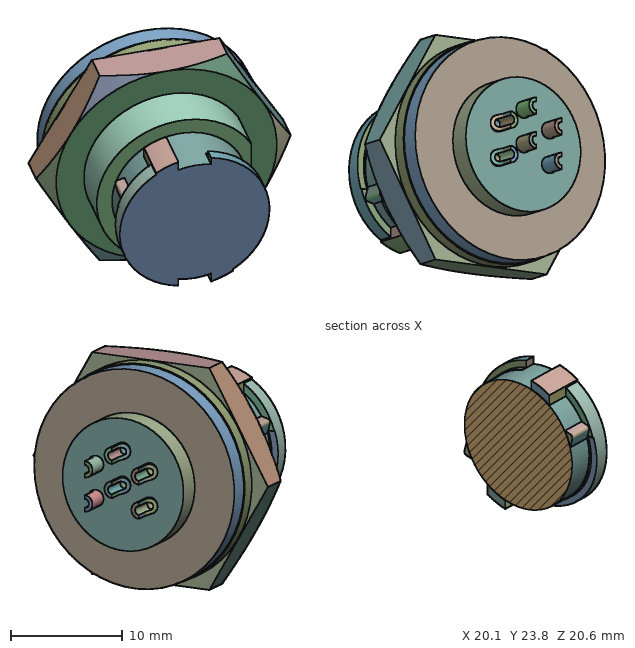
import cadquery as cq
import math

insert_back = 2.15
flange_back = 4.28
washer_back = 6.1
nut_back = 7.45
nut_front = 10.95
barrel_end = 15.08
key_start = 16.1
lug_start = 18.45
front_end = 20.1

insert_radius = 6.14
flange_radius = 10.15
washer_radius = 10.25
barrel_radius = 7.7
barrel_flat_y = 6.73
neck_radius = 6.28

nut_across_corners = 23.8
nut_flat_distance = nut_across_corners / 2 * math.cos(math.pi / 6)
nut_chamfer_length = 1.02

lug_radius = 7.0
lug_edge_y = 1.52
key_radius = 7.14
key_outer_y = 3.6
ramp_floor_radius = 6.35
ramp_top_z = 1.93
ramp_start_depth = 0.1
ramp_end_depth = 0.62

rib_tilt = 14.0
rib_outer_distance = 5.45
rib_inner_distance = 4.05
rib_bottom_offset = 2.85
rib_top_offset = 4.4
rib_round = 0.3

pin_radius = 0.75
pin_circle_radius = 3.16
pin_angles = (-30, 30, 90, 150, 210)
cup_radius = 0.4
cup_depth = 2.38
cup_tip_length = 0.24
cup_flat_length = 1.24
cup_run_out_radius = 0.9


def disc(start, end, radius):
    return cq.Workplane("YZ").workplane(offset=start).circle(radius).extrude(end - start)


def block(x_range, y_range, z_range):
    sizes = [high - low for low, high in (x_range, y_range, z_range)]
    corner = (x_range[0], y_range[0], z_range[0])
    return cq.Workplane("XY").box(*sizes, centered=False).translate(corner)


def half_turn(shape):
    return shape.rotate((0, 0, 0), (1, 0, 0), 180)


def turned_body():
    body = disc(insert_back, flange_back, insert_radius)
    body = body.union(disc(flange_back, washer_back, flange_radius))
    body = body.union(disc(washer_back, nut_back, washer_radius))
    beside_flat = block(
        (nut_front, barrel_end), (-barrel_radius, barrel_flat_y), (-barrel_radius, barrel_radius)
    )
    body = body.union(disc(nut_front, barrel_end, barrel_radius).intersect(beside_flat))
    return body.union(disc(barrel_end, front_end, neck_radius))


def hex_nut():
    hexagon = (
        cq.Workplane("YZ")
        .workplane(offset=nut_back)
        .polygon(6, nut_across_corners)
        .extrude(nut_front - nut_back)
    )
    corner_radius = nut_across_corners / 2
    envelope = (
        cq.Workplane("XY")
        .moveTo(nut_back, 0)
        .lineTo(nut_back, corner_radius)
        .lineTo(nut_front - nut_chamfer_length, corner_radius)
        .lineTo(nut_front, nut_flat_distance)
        .lineTo(nut_front, 0)
        .close()
        .revolve(360, (0, 0, 0), (1, 0, 0))
    )
    return hexagon.intersect(envelope)


def key():
    slab = block((key_start, front_end), (-key_outer_y, -lug_edge_y), (0, key_radius))
    return disc(key_start, front_end, key_radius).intersect(slab)


def lug():
    side = block(
        (lug_start, front_end), (-lug_radius, -lug_edge_y), (-lug_radius, lug_radius)
    )
    ring = disc(lug_start, front_end, lug_radius).intersect(side)
    wedge = (
        cq.Workplane("XZ")
        .moveTo(lug_start, ramp_top_z)
        .lineTo(lug_start + ramp_start_depth, ramp_top_z)
        .lineTo(lug_start + ramp_end_depth, -lug_radius)
        .lineTo(lug_start, -lug_radius)
        .close()
        .extrude(lug_radius)
    )
    return ring.cut(wedge.cut(disc(lug_start, front_end, ramp_floor_radius)))


def stop_rib():
    rib = block(
        (key_start, lug_start),
        (-rib_outer_distance, -rib_inner_distance),
        (rib_bottom_offset, rib_top_offset),
    )
    rib = rib.edges("|X and <Y and >Z").fillet(rib_round)
    return rib.rotate((0, 0, 0), (1, 0, 0), rib_tilt)


def solder_pin(y, z, open_side):
    """Pin at (y, z) whose cup is open towards +Y (open_side 1) or -Y (open_side -1)."""
    reach = 2 * pin_radius
    run_out_end = (cup_flat_length + cup_run_out_radius, open_side * cup_run_out_radius)
    pin = disc(0, insert_back, pin_radius)
    opening = (
        cq.Workplane("XY")
        .lineTo(cup_flat_length, 0)
        .radiusArc(run_out_end, -open_side * cup_run_out_radius)
        .lineTo(cup_flat_length + cup_run_out_radius, open_side * reach)
        .lineTo(0, open_side * reach)
        .close()
        .extrude(pin_radius, both=True)
    )
    return pin.cut(opening).translate((0, y, z))


def cup_bore(y, z):
    bore = (
        cq.Workplane("XY")
        .lineTo(0, cup_radius)
        .lineTo(cup_depth, cup_radius)
        .lineTo(cup_depth + cup_tip_length, 0)
        .close()
        .revolve(360, (0, 0, 0), (1, 0, 0))
    )
    return bore.translate((0, y, z))


result = turned_body().union(hex_nut())

for feature in (key(), lug(), stop_rib()):
    result = result.union(feature).union(half_turn(feature))

pin_places = [(0, 0)]
for angle in pin_angles:
    turn = math.radians(angle)
    pin_places.append((pin_circle_radius * math.cos(turn), pin_circle_radius * math.sin(turn)))

for pin_y, pin_z in pin_places:
    cup_side = 1 if pin_y > pin_radius else -1
    result = result.union(solder_pin(pin_y, pin_z, cup_side))
    result = result.cut(cup_bore(pin_y, pin_z))